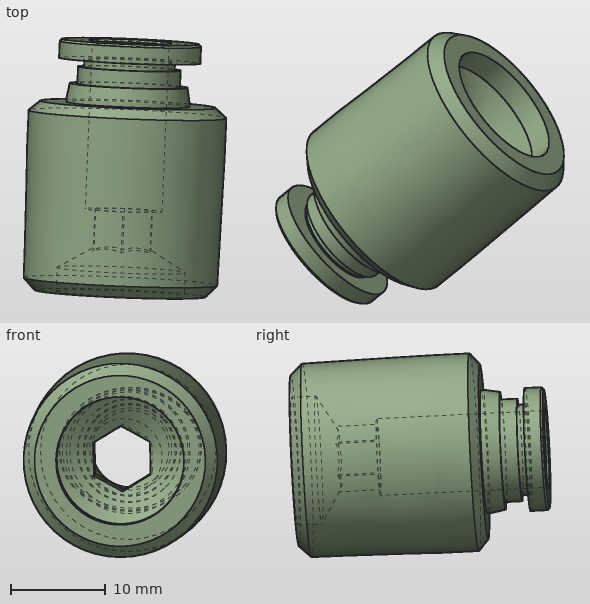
import cadquery as cq
import math

BODY_LENGTH = 20.02
SHOULDER_POS = 15.05
COLLAR_STEP = 20.45
COLLAR_END = 22.0
NECK_END = 23.8
FLANGE_FRONT = 24.63
TOTAL_LENGTH = 26.65

FRONT_RADIUS = 10.25
REAR_RADIUS = 10.46
COLLAR_FOOT_RADIUS = 6.52
COLLAR_TIP_RADIUS = 6.25
NECK_RADIUS = 5.45
GROOVE_RADIUS = 4.8
GROOVE_FLARE = 0.1
BODY_CHAMFER_RADIAL = 1.21
FRONT_CHAMFER_LENGTH = 1.27
REAR_CHAMFER_LENGTH = 1.05

FLANGE_HALF_WIDTH = 7.48
FLANGE_HALF_HEIGHT = 6.52
FLANGE_CHAMFER = 0.25

SOCKET_RADIUS = 6.76
SOCKET_DEPTH = 2.5
CONE_POINT_ANGLE = 118.0
HEX_ACROSS_FLATS = 6.0
HEX_END = 8.84

BORE_RADIUS = 4.05
BORE_CHAMFER = 0.28

ROLL = -1.3
PITCH = 2.8
YAW = -2.4


def revolve_profile(points):
    """Revolve an outline of (radius, axial position) points about the Y axis."""
    return cq.Workplane("XY").polyline(points).close().revolve(360, (0, 0, 0), (0, 1, 0))


def plane_at(position):
    """Workplane across the axis, with its normal pointing to the rear."""
    return cq.Workplane("XZ", origin=(0, position, 0)).transformed(rotate=(180, 0, 0))


def body_and_neck():
    return revolve_profile([
        (0, 0),
        (FRONT_RADIUS - BODY_CHAMFER_RADIAL, 0),
        (FRONT_RADIUS, FRONT_CHAMFER_LENGTH),
        (REAR_RADIUS, SHOULDER_POS),
        (REAR_RADIUS, BODY_LENGTH - REAR_CHAMFER_LENGTH),
        (REAR_RADIUS - BODY_CHAMFER_RADIAL, BODY_LENGTH),
        (COLLAR_FOOT_RADIUS, BODY_LENGTH),
        (COLLAR_FOOT_RADIUS, COLLAR_STEP),
        (COLLAR_TIP_RADIUS, COLLAR_END),
        (NECK_RADIUS, COLLAR_END),
        (NECK_RADIUS, NECK_END),
        (GROOVE_RADIUS, NECK_END),
        (GROOVE_RADIUS, FLANGE_FRONT - GROOVE_FLARE),
        (GROOVE_RADIUS + GROOVE_FLARE, FLANGE_FRONT),
        (0, FLANGE_FRONT),
    ])


def flange():
    blank = (
        plane_at(FLANGE_FRONT)
        .ellipse(FLANGE_HALF_WIDTH, FLANGE_HALF_HEIGHT)
        .extrude(TOTAL_LENGTH - FLANGE_FRONT)
    )
    return blank.faces(">Y").edges().chamfer(FLANGE_CHAMFER)


def front_socket():
    cone_depth = SOCKET_RADIUS / math.tan(math.radians(CONE_POINT_ANGLE / 2))
    return revolve_profile([
        (0, 0),
        (SOCKET_RADIUS, 0),
        (SOCKET_RADIUS, SOCKET_DEPTH),
        (0, SOCKET_DEPTH + cone_depth),
    ])


def hex_passage():
    across_corners = HEX_ACROSS_FLATS / math.cos(math.pi / 6)
    return (
        plane_at(SOCKET_DEPTH)
        .transformed(rotate=(0, 0, 90))
        .polygon(6, across_corners)
        .extrude(HEX_END - SOCKET_DEPTH)
    )


def rear_bore():
    return revolve_profile([
        (0, HEX_END),
        (BORE_RADIUS, HEX_END),
        (BORE_RADIUS, TOTAL_LENGTH - BORE_CHAMFER),
        (BORE_RADIUS + BORE_CHAMFER, TOTAL_LENGTH),
        (0, TOTAL_LENGTH),
    ])


part = body_and_neck().union(flange())
part = part.cut(front_socket()).cut(hex_passage()).cut(rear_bore())

result = (
    part
    .rotate((0, 0, 0), (0, 1, 0), ROLL)
    .rotate((0, 0, 0), (1, 0, 0), PITCH)
    .rotate((0, 0, 0), (0, 0, 1), YAW)
)